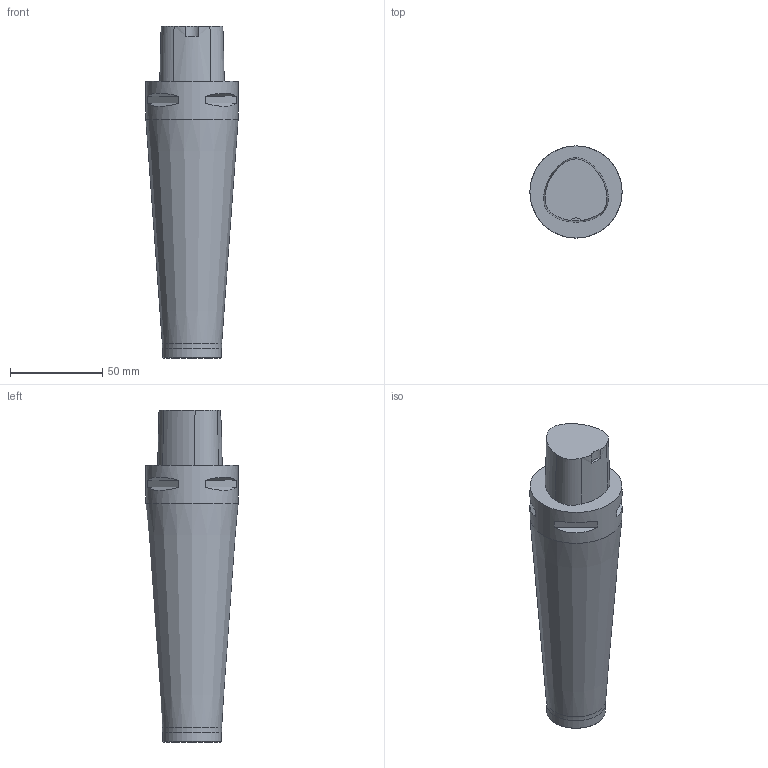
import cadquery as cq
import math

shank_length = 30.0
flange_height = 20.5
body_length = 150.0

flange_diameter = 50.0
nose_diameter = 32.0
nose_height = 6.65
nose_blend_reach = 1.33
nose_chamfer = 0.4

shank_mean_diameter = 35.0
lobe_eccentricity = 1.12
shank_taper = 1 / 20
lobe_count = 3
flank_half_angle = 24.5
points_per_face = 9

groove_count = 4
groove_first_angle = 45.0
groove_level = -10.0
groove_floor_height = 3.8
groove_chord = 23.5
groove_side_angle = 30.0
groove_cut_margin = 1.0

notch_radius = 4.8
notch_depth = 5.5
notch_floor_offset = 14.1


def make_body():
    """Flange, cone and nose as one turned profile; a tangent arc blends the cone into the nose."""
    flange_radius = flange_diameter / 2
    nose_radius = nose_diameter / 2
    corner_z = nose_height - body_length
    cone_angle = math.atan2(flange_radius - nose_radius, -flange_height - corner_z)
    blend_start_x = nose_radius + nose_blend_reach * math.sin(cone_angle)
    blend_start_z = corner_z + nose_blend_reach * math.cos(cone_angle)
    return (
        cq.Workplane("XZ")
        .lineTo(flange_radius, 0)
        .lineTo(flange_radius, -flange_height)
        .lineTo(blend_start_x, blend_start_z)
        .tangentArcPoint((nose_radius, corner_z - nose_blend_reach), relative=False)
        .lineTo(nose_radius, nose_chamfer - body_length)
        .lineTo(nose_radius - nose_chamfer, -body_length)
        .lineTo(0, -body_length)
        .close()
        .revolve(360, (0, 0), (0, 1))
    )


def lobe_point(mean_radius, angle, level):
    """Point of the lobed outline whose outward normal is at `angle` degrees from -Y."""
    turn = math.radians(angle)
    reach = mean_radius - lobe_eccentricity * math.cos(lobe_count * turn)
    slip = lobe_count * lobe_eccentricity * math.sin(lobe_count * turn)
    x = reach * math.sin(turn) + slip * math.cos(turn)
    y = slip * math.sin(turn) - reach * math.cos(turn)
    return cq.Vector(x, y, level)


def lobe_edge(mean_radius, start, end, level):
    """Smooth stretch of the lobed outline between two normal angles."""
    step = (end - start) / (points_per_face - 1)
    return cq.Edge.makeSpline(
        [lobe_point(mean_radius, start + i * step, level) for i in range(points_per_face)]
    )


def lobe_outline(mean_radius, level):
    """Closed outline: a shallow flank and a tighter lobe, repeated around the axis."""
    pitch = 360 / lobe_count
    edges = []
    for i in range(lobe_count):
        flank_start = i * pitch - flank_half_angle
        flank_end = i * pitch + flank_half_angle
        edges.append(lobe_edge(mean_radius, flank_start, flank_end, level))
        edges.append(lobe_edge(mean_radius, flank_end, flank_start + pitch, level))
    return cq.Wire.assembleEdges(edges)


def make_shank():
    base_radius = shank_mean_diameter / 2
    end_radius = base_radius - shank_length * shank_taper / 2
    base = lobe_outline(base_radius, 0)
    end = lobe_outline(end_radius, shank_length)
    return cq.Workplane(obj=cq.Solid.makeLoft([base, end], True))


def make_groove_cutter():
    """Straight groove with sloped sides, cut across the +X side of the flange."""
    floor_offset = math.sqrt((flange_diameter / 2) ** 2 - (groove_chord / 2) ** 2)
    cutter_depth = flange_diameter / 2 - floor_offset + groove_cut_margin
    floor_half = groove_floor_height / 2
    mouth_half = floor_half + cutter_depth * math.tan(math.radians(groove_side_angle))
    profile = [
        (floor_offset, groove_level - floor_half),
        (floor_offset + cutter_depth, groove_level - mouth_half),
        (floor_offset + cutter_depth, groove_level + mouth_half),
        (floor_offset, groove_level + floor_half),
    ]
    return cq.Workplane("XZ").polyline(profile).close().extrude(flange_diameter / 2, both=True)


def make_notch_cutter():
    """Round-backed notch on the -Y flank, open at the shank end."""
    axis_y = -(notch_floor_offset + notch_radius)
    return (
        cq.Workplane("XY", origin=(0, axis_y, shank_length - notch_depth))
        .circle(notch_radius)
        .extrude(notch_depth)
    )


result = make_body().union(make_shank())
groove = make_groove_cutter()
for i in range(groove_count):
    angle = groove_first_angle + i * 360 / groove_count
    result = result.cut(groove.rotate((0, 0, 0), (0, 0, 1), angle))
result = result.cut(make_notch_cutter())